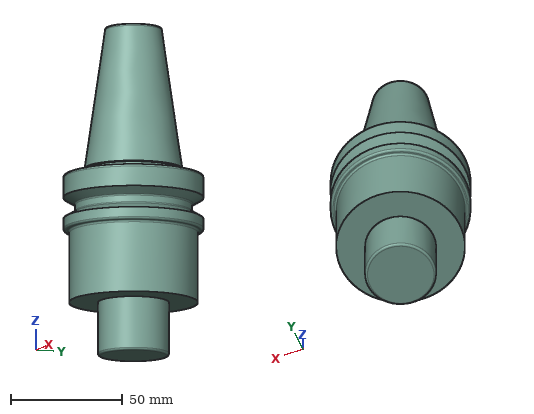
import cadquery as cq
import math

total_height = 149.4

pilot_radius = 32.0 / 2
body_radius = 58.0 / 2
flange_radius = 63.0 / 2
groove_radius = 52.7 / 2
neck_radius = 43.8 / 2

body_bottom = 24.2
flange_bottom = 56.9
flange_top = 82.0
taper_bottom = 85.2

taper_ratio = 7 / 24
gauge_offset = 2.1
gauge_radius = 44.45 / 2
gauge_height = flange_top + gauge_offset
neck_step_height = 0.5

groove_bottom_edge = 62.3
groove_top_edge = 72.0
groove_wall_slope = math.tan(math.radians(30))

rim_fillet = 1.0
root_fillet = 0.9
groove_fillet = 0.7


def taper_radius(height):
    """Radius of the tool taper at a given height."""
    return gauge_radius - (height - gauge_height) * taper_ratio / 2


groove_wall_height = (flange_radius - groove_radius) * groove_wall_slope
groove_floor_bottom = groove_bottom_edge + groove_wall_height
groove_floor_top = groove_top_edge - groove_wall_height
tip_radius = taper_radius(total_height)

profile = [
    (0, 0),
    (pilot_radius, 0),
    (pilot_radius, body_bottom),
    (body_radius, body_bottom),
    (body_radius, flange_bottom),
    (flange_radius, flange_bottom),
    (flange_radius, groove_bottom_edge),
    (groove_radius, groove_floor_bottom),
    (groove_radius, groove_floor_top),
    (flange_radius, groove_top_edge),
    (flange_radius, flange_top),
    (neck_radius, flange_top),
    (neck_radius, taper_bottom - neck_step_height),
    (taper_radius(taper_bottom), taper_bottom),
    (tip_radius, total_height),
    (0, total_height),
]
holder = cq.Workplane("XZ").polyline(profile).close().revolve(360, (0, 0, 0), (0, 1, 0))


def fillet_circle(solid, radius, height, fillet_radius):
    """Round the circular edge with the given radius and height."""
    margin = 0.07
    near = cq.selectors.BoxSelector(
        (-radius - margin, -radius - margin, height - margin),
        (radius + margin, radius + margin, height + margin),
        boundingbox=True,
    )
    inside = cq.selectors.BoxSelector(
        (-radius + margin, -radius + margin, height - margin),
        (radius - margin, radius - margin, height + margin),
        boundingbox=True,
    )
    return solid.edges(near - inside).fillet(fillet_radius)


rounded_circles = [
    (pilot_radius, 0, rim_fillet),
    (flange_radius, flange_bottom, rim_fillet),
    (flange_radius, flange_top, rim_fillet),
    (tip_radius, total_height, rim_fillet),
    (body_radius, flange_bottom, root_fillet),
    (neck_radius, flange_top, root_fillet),
    (groove_radius, groove_floor_bottom, groove_fillet),
    (groove_radius, groove_floor_top, groove_fillet),
]
for circle_radius, circle_height, fillet_radius in rounded_circles:
    holder = fillet_circle(holder, circle_radius, circle_height, fillet_radius)

result = holder